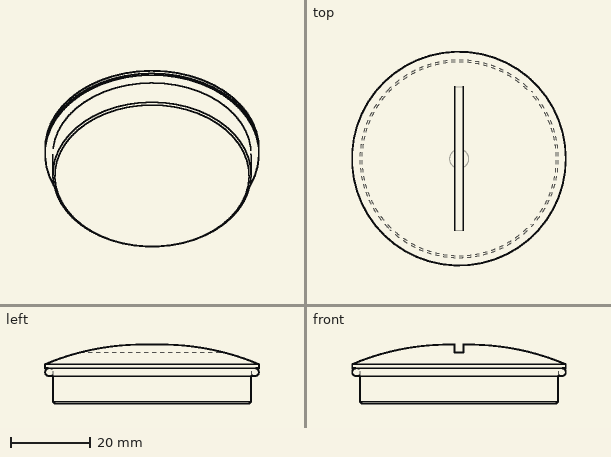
import cadquery as cq
import math

total_height = 15.0
head_radius = 27.0
shank_radius = 25.0
shank_chamfer = 0.5
head_base_z = 9.0
rim_thickness = 1.0
crown_flat_radius = 2.4

slot_width = 2.2
slot_depth = 2.0

ring_section_radius = (head_radius - shank_radius) / 2
ring_center_radius = shank_radius + ring_section_radius
ring_center_z = head_base_z - ring_section_radius

rim_top_z = head_base_z + rim_thickness
dome_drop = total_height - rim_top_z
dome_run = head_radius - crown_flat_radius
dome_arc_radius = (dome_run**2 + dome_drop**2) / (2 * dome_drop)
dome_half_angle = math.asin(dome_run / dome_arc_radius) / 2
dome_mid_r = crown_flat_radius + dome_arc_radius * math.sin(dome_half_angle)
dome_mid_z = total_height - dome_arc_radius * (1 - math.cos(dome_half_angle))


def make_plug():
    """Shank and domed head revolved about Z, with the slot cut across the crown."""
    plug = (
        cq.Workplane("XZ")
        .lineTo(shank_radius - shank_chamfer, 0)
        .lineTo(shank_radius, shank_chamfer)
        .lineTo(shank_radius, head_base_z)
        .lineTo(head_radius, head_base_z)
        .lineTo(head_radius, rim_top_z)
        .threePointArc((dome_mid_r, dome_mid_z), (crown_flat_radius, total_height))
        .lineTo(0, total_height)
        .close()
        .revolve(360, (0, 0, 0), (0, 1, 0))
    )
    slot = (
        cq.Workplane("XY")
        .workplane(offset=total_height - slot_depth)
        .rect(slot_width, 2 * head_radius)
        .extrude(slot_depth)
    )
    return plug.cut(slot)


def make_o_ring():
    """Round-section ring resting on the shank, against the underside of the head."""
    return (
        cq.Workplane("XZ")
        .center(ring_center_radius, ring_center_z)
        .circle(ring_section_radius)
        .revolve(360, (-ring_center_radius, 0, 0), (-ring_center_radius, 1, 0))
    )


plug = make_plug()
o_ring = make_o_ring()

result = cq.Compound.makeCompound([plug.solids().val(), o_ring.val()])